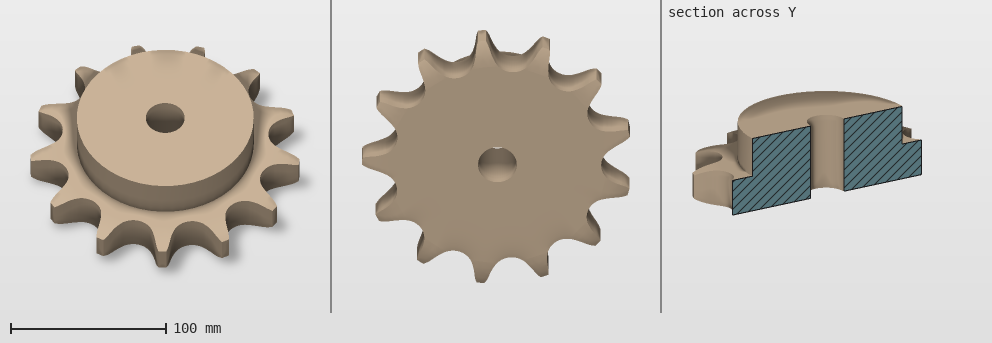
import cadquery as cq
import math

tooth_count = 13
pitch_diameter = 159.2
roller_diameter = 25.3
seating_radius = 12.8
outer_radius = 87.0
plate_thickness = 24.1
overall_height = 50.0
hub_diameter = 114.0
bore_diameter = 25.0
flat_face_radius = 70.0
side_rounding_radius = 38.2

pitch_radius = pitch_diameter / 2
tooth_angle = 360 / tooth_count
seating_angle = 35 + 60 / tooth_count
working_angle = 18 - 56 / tooth_count
working_center_offset = 0.8 * roller_diameter
topping_center_offset = 1.4 * roller_diameter
working_radius = working_center_offset + seating_radius


def direction(angle):
    """Unit vector at an angle in degrees from +X."""
    return cq.Vector(math.cos(math.radians(angle)), math.sin(math.radians(angle)))


def flank_points():
    """Points on the right flank of a tooth gap centred on +Y, from seating arc to tip.

    Joints alternate with arc midpoints: seating end, working middle, working end,
    topping start, topping middle, tip corner.
    """
    gap_center = cq.Vector(0, pitch_radius)
    working_center = gap_center - direction(-seating_angle) * working_center_offset
    flank_normal_angle = working_angle - seating_angle
    flank_normal = direction(flank_normal_angle)

    seating_end = gap_center + direction(-seating_angle) * seating_radius
    working_middle_angle = working_angle / 2 - seating_angle
    working_middle = working_center + direction(working_middle_angle) * working_radius
    working_end = working_center + flank_normal * working_radius

    topping_center = gap_center + direction(-tooth_angle / 2) * topping_center_offset
    topping_radius = (topping_center - working_end).dot(flank_normal)
    topping_start = topping_center - flank_normal * topping_radius

    center_distance = topping_center.Length
    tip_offset_cosine = (outer_radius**2 + center_distance**2 - topping_radius**2) / (
        2 * outer_radius * center_distance
    )
    topping_center_angle = math.degrees(math.atan2(topping_center.y, topping_center.x))
    tip_angle = topping_center_angle + math.degrees(math.acos(tip_offset_cosine))
    tip_corner = direction(tip_angle) * outer_radius

    chord_middle = (topping_start + tip_corner) * 0.5
    topping_middle = topping_center + (chord_middle - topping_center).normalized() * topping_radius
    return [seating_end, working_middle, working_end, topping_start, topping_middle, tip_corner]


def tooth_outline():
    """Closed outline of all teeth, travelling clockwise with a gap centred on +Y."""
    right_flank = flank_points()
    left_flank = [cq.Vector(-point.x, point.y) for point in reversed(right_flank)]
    gap_bottom = cq.Vector(0, pitch_radius - seating_radius)
    tooth_tip = direction(90 - tooth_angle / 2) * outer_radius

    def turned(point, index):
        angle = math.radians(-index * tooth_angle)
        return cq.Vector(
            point.x * math.cos(angle) - point.y * math.sin(angle),
            point.x * math.sin(angle) + point.y * math.cos(angle),
        ).toTuple()[:2]

    outline = cq.Workplane("XY").moveTo(*turned(left_flank[0], 0))
    for index in range(tooth_count):
        tip_left, topping_left, straight_top_left, straight_low_left, working_left, seat_left = [
            turned(point, index) for point in left_flank
        ]
        seat_right, working_right, straight_low_right, straight_top_right, topping_right, tip_right = [
            turned(point, index) for point in right_flank
        ]
        outline = (
            outline.threePointArc(topping_left, straight_top_left)
            .lineTo(*straight_low_left)
            .threePointArc(working_left, seat_left)
            .threePointArc(turned(gap_bottom, index), seat_right)
            .threePointArc(working_right, straight_low_right)
            .lineTo(*straight_top_right)
            .threePointArc(topping_right, tip_right)
            .threePointArc(turned(tooth_tip, index), turned(left_flank[0], index + 1))
        )
    return outline.close()


def rounded_blank():
    """Disc whose two faces curve inward towards the outer edge."""
    rounding_width = outer_radius - flat_face_radius
    edge_drop = side_rounding_radius - math.sqrt(side_rounding_radius**2 - rounding_width**2)
    middle_width = rounding_width / 2
    middle_drop = side_rounding_radius - math.sqrt(side_rounding_radius**2 - middle_width**2)
    middle_radius = flat_face_radius + middle_width
    return (
        cq.Workplane("XZ")
        .lineTo(flat_face_radius, 0)
        .threePointArc((middle_radius, middle_drop), (outer_radius, edge_drop))
        .lineTo(outer_radius, plate_thickness - edge_drop)
        .threePointArc(
            (middle_radius, plate_thickness - middle_drop),
            (flat_face_radius, plate_thickness),
        )
        .lineTo(0, plate_thickness)
        .close()
        .revolve(360, (0, 0), (0, 1))
    )


toothed_plate = tooth_outline().extrude(plate_thickness).intersect(rounded_blank())
hub = cq.Workplane("XY").circle(hub_diameter / 2).extrude(overall_height)
bore = cq.Workplane("XY").circle(bore_diameter / 2).extrude(overall_height)

result = toothed_plate.union(hub).cut(bore)